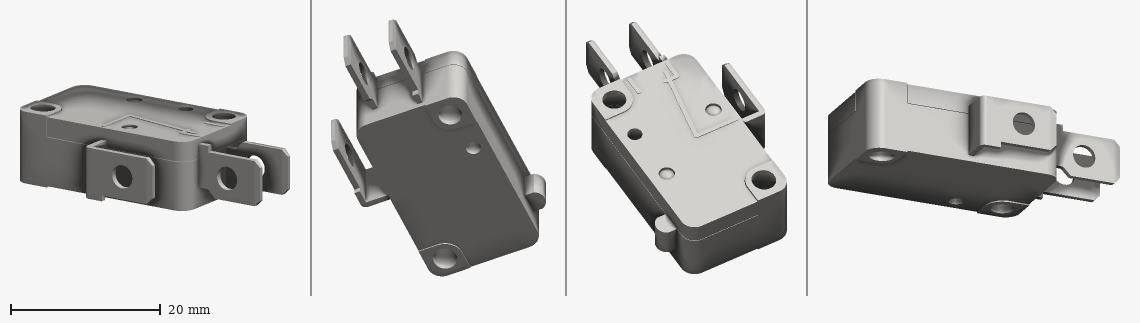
import cadquery as cq
import math


OVERALL_LENGTH = 37.7
LENGTH = 27.8
WIDTH = 15.9
CORNER_RADIUS = 2.0
THICKNESS = 10.0
PAD_TOP = THICKNESS / 2
PAD_RISE = 0.2
CASE_TOP = PAD_TOP - PAD_RISE
SEAM_Z = 2.0
GAP = 0.08

PAD_SIZE = 5.28
HOLE_INSET = 2.8
PAD_RADIUS = PAD_SIZE - HOLE_INSET
HOLE_DIAMETER = 3.2
SLOT_LENGTH = 3.43

PIN_HOLE = (18.47, WIDTH - 2.22)
PIN_HOLE_DIAMETER = 2.05
POST_CENTRES = [(10.33, WIDTH - 2.5), (17.05, 2.4)]
POST_DIAMETER = 2.05
POST_HOLE_DIAMETER = POST_DIAMETER + 2 * GAP
POST_RECESS = 0.1
DOME_HEIGHT = 0.23

PLUNGER_X = 4.8
PLUNGER_WIDTH = 3.0
PLUNGER_TRAVEL = 2.25
PLUNGER_DEPTH = 2.25
PLUNGER_CROWN = 0.95

SHEET = 0.8
BLADE_WIDTH = 6.3
BLADE_HALF = BLADE_WIDTH / 2
TIP_BEVEL = 0.85
TIP_THINNING = 0.1
TERMINAL_HOLE_DIAMETER = 3.25
END_TERMINAL_LENGTH = OVERALL_LENGTH - LENGTH
END_TERMINAL_YS = [3.35, WIDTH - 6.0]
END_HOLE_FROM_TIP = 5.28
SHOULDER_LENGTH = 1.55
SHOULDER_HALF = 4.05
NECK_HALF = 2.0
SIDE_TERMINAL_X = 14.2
SIDE_TERMINAL_DROP = 4.25
SIDE_TERMINAL_LENGTH = 10.97
BEND_RADIUS = 0.75
SIDE_HOLE_FROM_TIP = 4.8
SIDE_FOOT_LENGTH = 2.85
SIDE_FOOT_HALF = 3.95

TRACE_WIDTH = 0.6
TRACE_RISE = 0.1
TRACE_END_X = 27.15
COMMON_X = 14.05
CONTACT_X = 24.5
PIVOT = (COMMON_X, 6.75)
JUNCTION = (CONTACT_X, 3.75)
UPPER_LEAD_X = 24.65
UPPER_LEAD_Y = 9.55
TRACES = [
    ((COMMON_X, 0.6), PIVOT),
    (PIVOT, (25.9, 4.67)),
    (JUNCTION, (CONTACT_X, 5.5)),
    (JUNCTION, (TRACE_END_X, JUNCTION[1])),
    ((UPPER_LEAD_X, UPPER_LEAD_Y), (TRACE_END_X, UPPER_LEAD_Y)),
]


def case_block(bottom, top):
    """A slab with the rounded outline of the case."""
    return (
        cq.Workplane("XY", origin=(0, 0, bottom))
        .rect(LENGTH, WIDTH, centered=False)
        .extrude(top - bottom)
        .edges("|Z")
        .fillet(CORNER_RADIUS)
    )


def corner_pad(bottom, top, opposite=False, margin=0.0):
    """The part of the case at one mounting corner: at the origin, or diagonally opposite."""
    size = PAD_SIZE + margin
    pad = (
        cq.Workplane("XY", origin=(0, 0, bottom))
        .rect(size, size, centered=False)
        .extrude(top - bottom)
        .edges("|Z and >X and >Y")
        .fillet(PAD_RADIUS + margin)
    )
    if opposite:
        pad = pad.rotate((LENGTH / 2, WIDTH / 2, 0), (LENGTH / 2, WIDTH / 2, 1), 180)
    return pad.intersect(case_block(bottom, top))


def case_holes():
    """The mounting slot, the mounting hole and the small hole, all through the case."""
    plane = cq.Workplane("XY", origin=(0, 0, -PAD_TOP))
    slot = plane.center(HOLE_INSET, HOLE_INSET).slot2D(SLOT_LENGTH, HOLE_DIAMETER).extrude(THICKNESS)
    mounting_hole = (
        plane.center(LENGTH - HOLE_INSET, WIDTH - HOLE_INSET)
        .circle(HOLE_DIAMETER / 2)
        .extrude(THICKNESS)
    )
    pin_hole = plane.center(*PIN_HOLE).circle(PIN_HOLE_DIAMETER / 2).extrude(THICKNESS)
    return slot.union(mounting_hole).union(pin_hole)


def cover_posts():
    """Posts standing on the housing, each with a domed top."""
    dome_top = CASE_TOP - POST_RECESS
    dome_base = dome_top - DOME_HEIGHT
    radius = POST_DIAMETER / 2
    dome_radius = (radius**2 + DOME_HEIGHT**2) / (2 * DOME_HEIGHT)
    profile = (
        cq.Workplane("XZ")
        .lineTo(radius, 0)
        .lineTo(radius, dome_base)
        .radiusArc((0, dome_top), -dome_radius)
        .close()
    )
    post = profile.revolve(360, (0, 0, 0), (0, 1, 0))
    posts = cq.Workplane("XY")
    for x, y in POST_CENTRES:
        posts = posts.union(post.translate((x, y, 0)))
    return posts


def thinned_tip(length):
    """A long block whose end at X = length tapers in thickness towards the blade tip."""
    half = SHEET / 2
    return (
        cq.Workplane("XY", origin=(0, 0, -PAD_TOP))
        .moveTo(0, -half)
        .lineTo(length - TIP_BEVEL, -half)
        .lineTo(length, TIP_THINNING - half)
        .lineTo(length, half - TIP_THINNING)
        .lineTo(length - TIP_BEVEL, half)
        .lineTo(0, half)
        .close()
        .extrude(THICKNESS)
    )


def blade(root_points, length, hole_from_tip):
    """A flat terminal along X from 0, with its root outline, bevelled tip and hole."""
    tip_half = BLADE_HALF - TIP_BEVEL
    tip_points = [
        (length - TIP_BEVEL, BLADE_HALF),
        (length, tip_half),
        (length, -tip_half),
        (length - TIP_BEVEL, -BLADE_HALF),
    ]
    plate = cq.Workplane("XZ").polyline(root_points + tip_points).close().extrude(SHEET / 2, both=True)
    hole = (
        cq.Workplane("XZ")
        .center(length - hole_from_tip, 0)
        .circle(TERMINAL_HOLE_DIAMETER / 2)
        .extrude(SHEET, both=True)
    )
    return plate.cut(hole).intersect(thinned_tip(length))


def end_terminals():
    """Two straight terminals on the +X end, one of them turned over."""
    root = [
        (SHOULDER_LENGTH + BLADE_HALF - NECK_HALF, -BLADE_HALF),
        (SHOULDER_LENGTH, -NECK_HALF),
        (0, -NECK_HALF),
        (0, SHOULDER_HALF),
        (SHOULDER_LENGTH, SHOULDER_HALF),
        (SHOULDER_LENGTH, BLADE_HALF),
    ]
    upright = blade(root, END_TERMINAL_LENGTH, END_HOLE_FROM_TIP)
    turned = upright.mirror("XY")
    lower_y, upper_y = END_TERMINAL_YS
    return upright.translate((LENGTH, lower_y, 0)).union(turned.translate((LENGTH, upper_y, 0)))


def side_terminal():
    """The terminal that leaves the -Y wall and bends towards +X."""
    root = [
        (SIDE_FOOT_LENGTH, -BLADE_HALF),
        (SIDE_FOOT_LENGTH, -SIDE_FOOT_HALF),
        (0, -SIDE_FOOT_HALF),
        (0, BLADE_HALF),
    ]
    arm = blade(root, SIDE_TERMINAL_LENGTH, SIDE_HOLE_FROM_TIP).translate((0, SHEET / 2, 0))
    leg = (
        cq.Workplane("XY", origin=(0, 0, -SIDE_FOOT_HALF))
        .rect(SHEET, SIDE_TERMINAL_DROP, centered=False)
        .extrude(SIDE_FOOT_HALF + BLADE_HALF)
    )
    bent = arm.union(leg).edges("|Z and <X and <Y").fillet(BEND_RADIUS)
    return bent.translate((SIDE_TERMINAL_X, -SIDE_TERMINAL_DROP, 0))


def raised_symbol():
    """Round-ended ridges that draw the switch circuit on the cover."""
    symbol = cq.Workplane("XY")
    for (x1, y1), (x2, y2) in TRACES:
        run = math.hypot(x2 - x1, y2 - y1)
        angle = math.degrees(math.atan2(y2 - y1, x2 - x1))
        ridge = (
            cq.Workplane("XY", origin=((x1 + x2) / 2, (y1 + y2) / 2, CASE_TOP))
            .slot2D(run + TRACE_WIDTH, TRACE_WIDTH, angle)
            .extrude(TRACE_RISE)
        )
        symbol = symbol.union(ridge)
    return symbol


def make_plunger():
    """Flat button with an arched outer end, guided in the +Y wall."""
    half_width = PLUNGER_WIDTH / 2
    return (
        cq.Workplane("XY", origin=(PLUNGER_X, WIDTH, -SEAM_Z))
        .moveTo(-half_width, -PLUNGER_DEPTH)
        .lineTo(half_width, -PLUNGER_DEPTH)
        .lineTo(half_width, PLUNGER_TRAVEL - PLUNGER_CROWN)
        .threePointArc((0, PLUNGER_TRAVEL), (-half_width, PLUNGER_TRAVEL - PLUNGER_CROWN))
        .close()
        .extrude(2 * SEAM_Z)
    )


def make_housing(plunger):
    """Lower case with one full-height corner, cover posts and the three terminals."""
    case = (
        case_block(-CASE_TOP, SEAM_Z)
        .union(corner_pad(-PAD_TOP, PAD_TOP))
        .union(corner_pad(-PAD_TOP, -CASE_TOP, opposite=True))
        .union(cover_posts())
        .cut(case_holes())
        .cut(plunger)
    )
    return case.union(end_terminals()).union(side_terminal())


def make_cover():
    """Upper case around the full-height corner, with its own pad and the raised symbol."""
    bottom = SEAM_Z + GAP
    cover = (
        case_block(bottom, CASE_TOP)
        .cut(corner_pad(bottom, CASE_TOP, margin=GAP))
        .union(corner_pad(CASE_TOP, PAD_TOP, opposite=True))
        .union(raised_symbol())
        .cut(case_holes())
    )
    post_holes = (
        cq.Workplane("XY", origin=(0, 0, bottom))
        .pushPoints(POST_CENTRES)
        .circle(POST_HOLE_DIAMETER / 2)
        .extrude(CASE_TOP - bottom)
    )
    return cover.cut(post_holes)


plunger = make_plunger()
housing = make_housing(plunger)
cover = make_cover()

result = cq.Compound.makeCompound([housing.val(), cover.val(), plunger.val()])